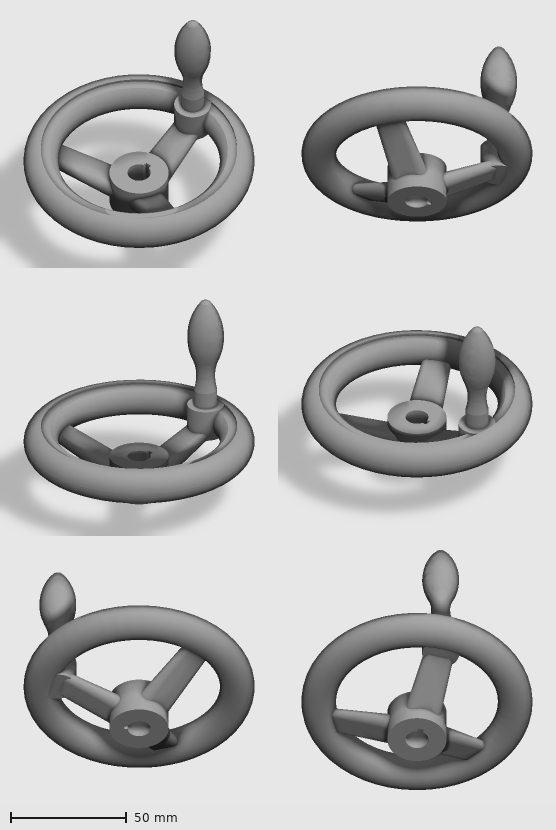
import cadquery as cq
import math

outer_radius = 50.0
rim_tube_radius = 7.5
rim_center_radius = outer_radius - rim_tube_radius
rim_center_z = 24.0
rim_top = rim_center_z + rim_tube_radius
step_depth = 1.2

hub_radius = 12.8
hub_height = 17.0
bore_radius = 5.0
key_width = 2.8
key_top = 6.5

spoke_angles = (90, 210, 330)
spoke_flat_width = 8.4
spoke_inner_radius = 8.5
spoke_inner_z = 8.1
spoke_inner_edge = 3.7
spoke_outer_edge = 1.9

handle_y = 36.0
boss_radius = 8.0
boss_bottom = 17.4
boss_top = 31.2
shank_radius = 5.0
shank_top = 38.6
neck_radius = 4.1
neck_z = 44.6
grip_start_radius = 5.4
grip_start_z = 52.4
grip_radius = 8.0
grip_widest_z = 63.0
cap_radius = 2.4
cap_base_z = 80.4
handle_top = 81.5
flare_sag = 0.2
neck_sag = 0.4


def make_rim():
    rim = cq.Workplane("XZ").center(rim_center_radius, rim_center_z).circle(rim_tube_radius)
    rim = rim.revolve(360, (-rim_center_radius, 0, 0), (-rim_center_radius, 1, 0))
    step = cq.Workplane("XY").workplane(offset=rim_top - step_depth)
    step = step.circle(rim_center_radius).extrude(2 * step_depth)
    return rim.cut(step)


def make_spoke(angle):
    run = rim_center_radius - spoke_inner_radius
    rise = rim_center_z - spoke_inner_z
    length = math.hypot(run, rise)
    plane = cq.Plane(origin=(spoke_inner_radius, 0, spoke_inner_z), xDir=(0, 1, 0), normal=(run, 0, rise))
    spoke = (
        cq.Workplane(plane)
        .slot2D(spoke_flat_width + 2 * spoke_inner_edge, 2 * spoke_inner_edge)
        .workplane(offset=length)
        .slot2D(spoke_flat_width + 2 * spoke_outer_edge, 2 * spoke_outer_edge)
        .loft(ruled=True)
    )
    return spoke.rotate((0, 0, 0), (0, 0, 1), angle)


def make_handle():
    flare_middle = ((shank_radius + neck_radius) / 2 - flare_sag, (shank_top + neck_z) / 2)
    neck_middle = ((neck_radius + grip_start_radius) / 2 - neck_sag, (neck_z + grip_start_z) / 2)
    cap_height = handle_top - cap_base_z
    cap_sphere = (cap_radius**2 + cap_height**2) / (2 * cap_height)
    cap_half_angle = math.asin(cap_radius / cap_sphere) / 2
    cap_middle = (
        cap_sphere * math.sin(cap_half_angle),
        handle_top - cap_sphere * (1 - math.cos(cap_half_angle)),
    )
    profile = (
        cq.Workplane("XZ")
        .moveTo(0, rim_center_z)
        .lineTo(shank_radius, rim_center_z)
        .lineTo(shank_radius, shank_top)
        .threePointArc(flare_middle, (neck_radius, neck_z))
        .threePointArc(neck_middle, (grip_start_radius, grip_start_z))
        .threePointArc((grip_radius, grip_widest_z), (cap_radius, cap_base_z))
        .threePointArc(cap_middle, (0, handle_top))
        .close()
    )
    return profile.revolve(360, (0, 0, 0), (0, 1, 0)).translate((0, handle_y, 0))


def make_boss():
    boss = cq.Workplane("XY").workplane(offset=boss_bottom).center(0, handle_y)
    return boss.circle(boss_radius).extrude(boss_top - boss_bottom)


def make_hub():
    return cq.Workplane("XY").circle(hub_radius).extrude(hub_height)


def make_bore():
    bore = cq.Workplane("XY").circle(bore_radius).extrude(hub_height)
    key = cq.Workplane("XY").center(0, key_top / 2).rect(key_width, key_top).extrude(hub_height)
    return bore.union(key)


result = make_rim().union(make_hub())
for spoke_angle in spoke_angles:
    result = result.union(make_spoke(spoke_angle))
result = result.union(make_boss()).union(make_handle()).cut(make_bore())